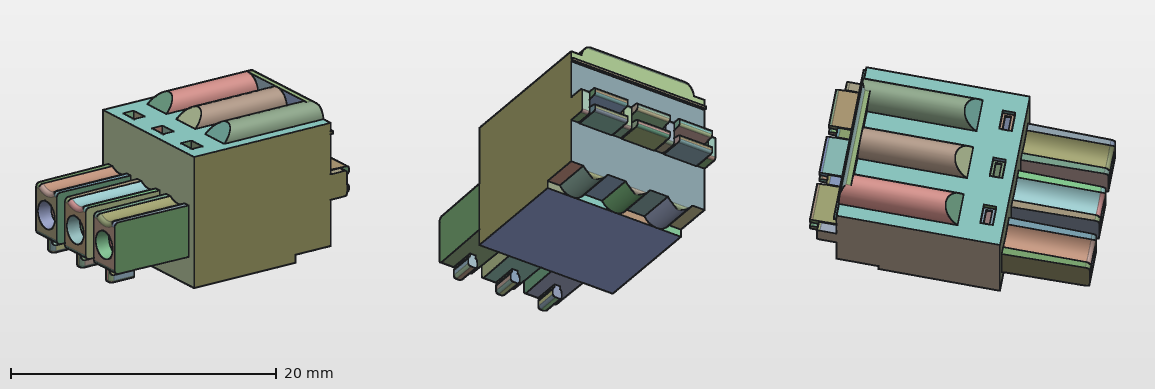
import cadquery as cq
import math


pole_pitch = 3.8
pole_count = 3
pole_centres = [(i - (pole_count - 1) / 2) * pole_pitch for i in range(pole_count)]
centre_span = pole_pitch * (pole_count - 1)

total_length = 21.4
total_height = 11.7
body_width = 12.03
body_front = 6.7
body_rear = 19.22
body_top = 10.57
end_radius = 0.3

barrel_radius = 1.26
upper_barrel_front = 10.12
upper_barrel_height = total_height - body_top
lower_barrel_front = 16.0
lower_barrel_height = 0.65
web_thickness = 0.7

pocket_front = 7.53
pocket_length = 0.96
pocket_width = 1.48
pocket_depth = 0.65
pocket_ledge = 0.21
well_width = 1.15
well_depth = 0.43
well_step_length = 0.28

plug_bottom = 2.3
plug_top = 6.45
plug_tip_width = 2.74
plug_root_width = 2.95
plug_radius = 0.35
groove_diameter = 3.1
groove_radius = groove_diameter / 2
groove_width = 1.85
hole_height = 4.25
hole_mouth_diameter = 2.23
hole_inner_diameter = 2.03
hole_taper_depth = 1.13
pin_hole_diameter = 1.2
pin_hole_depth = 3.0

key_front = 0.28
key_rear = 2.48
key_bottom = 1.15
key_width = 0.81
key_neck_width = 0.5
key_top = plug_bottom + plug_radius
key_neck_bottom = 2.08
key_shoulder = 1.82
key_corner_radius = 0.3
key_bottom_radius = 0.24

socket_width = 2.93
socket_bottom = 4.32
socket_root_top = 6.48
socket_top = 6.4
socket_mid = (socket_bottom + socket_top) / 2
mouth_height = 0.9
mouth_root_height = 0.3
lip_radius = 0.21
socket_overlap = 0.21
rib_rear = 20.72
rib_bottom = 4.37
rib_top = 6.42
rib_gap = 0.06
bead_size = 0.21
bead_height = 9.75


def box(x_range, y_range, z_range):
    """Box between the given limits on each axis."""
    sizes = [high - low for low, high in (x_range, y_range, z_range)]
    corner = (x_range[0], y_range[0], z_range[0])
    return cq.Workplane("XY").box(*sizes, centered=False).translate(corner)


def centred(middle, size):
    """Limits of a length placed symmetrically about a middle."""
    return (middle - size / 2, middle + size / 2)


def side_profile(points, width, middle=0.0):
    """Outline in Y and Z, extruded across X about a middle."""
    profile = cq.Workplane("YZ").polyline(points).close()
    return profile.extrude(width / 2, both=True).translate((middle, 0, 0))


def along_y(diameter, start, end, x, z):
    """Cylinder parallel to Y."""
    plane = cq.Workplane("XZ", origin=(x, start, z))
    return plane.circle(diameter / 2).extrude(start - end)


def barrels(front, axis_height):
    """One cylinder per pole, ending at the rear of the housing."""
    group = along_y(2 * barrel_radius, front, body_rear, pole_centres[0], axis_height)
    for x in pole_centres[1:]:
        group = group.union(along_y(2 * barrel_radius, front, body_rear, x, axis_height))
    return group


def upper_barrels():
    """Barrels with a sloped front, joined at the rear by a web."""
    web = box(
        centred(0, centre_span),
        (body_rear - web_thickness, body_rear),
        (body_top, total_height),
    )
    group = barrels(upper_barrel_front, total_height - barrel_radius).union(web)
    outline = [
        (upper_barrel_front, body_top),
        (body_rear, body_top),
        (body_rear, total_height),
        (upper_barrel_front + upper_barrel_height, total_height),
    ]
    limits = side_profile(outline, body_width).edges("|X and >Y and >Z").fillet(end_radius)
    return group.intersect(limits)


def lower_barrels():
    """Barrels left standing in the step under the rear of the housing."""
    limits = box(
        centred(0, body_width),
        (lower_barrel_front, body_rear),
        (0, lower_barrel_height),
    )
    limits = limits.edges("|X and >Y and <Z").fillet(end_radius)
    return barrels(lower_barrel_front, barrel_radius).intersect(limits)


def housing():
    block = box(centred(0, body_width), (body_front, body_rear), (0, body_top))
    step = box(centred(0, body_width), (lower_barrel_front, body_rear), (0, lower_barrel_height))
    return block.cut(step).union(lower_barrels()).union(upper_barrels())


def pocket(x):
    """Rectangular pocket with a deeper well whose floor slopes down to the rear."""
    pocket_floor = body_top - pocket_depth
    opening = box(
        centred(x, pocket_width),
        (pocket_front, pocket_front + pocket_length),
        (pocket_floor, body_top),
    )
    well_rear = pocket_front + pocket_length - pocket_ledge
    well_outline = [
        (pocket_front, pocket_floor),
        (pocket_front + well_step_length, pocket_floor),
        (well_rear, pocket_floor - well_depth),
        (well_rear, body_top),
        (pocket_front, body_top),
    ]
    return opening.union(side_profile(well_outline, well_width, x))


def plug(x):
    """Tapered block with a hollow along its top and rounded front edges."""
    tip = plug_tip_width / 2
    root = plug_root_width / 2
    outline = [(-tip, 0), (tip, 0), (root, body_front), (-root, body_front)]
    block = cq.Workplane("XY").polyline(outline).close().extrude(plug_top - plug_bottom)
    block = block.translate((x, 0, plug_bottom))
    groove_axis = plug_top + math.sqrt(groove_radius**2 - (groove_width / 2) ** 2)
    block = block.cut(along_y(groove_diameter, 0, body_front, x, groove_axis))
    return block.faces("<Y").edges("not |Z").fillet(plug_radius)


def plug_hole(x):
    """Tapered entry, a cone at 45 degrees and a narrow pin hole."""
    cone_depth = (hole_inner_diameter - pin_hole_diameter) / 2
    outline = [
        (0, 0),
        (hole_mouth_diameter / 2, 0),
        (hole_inner_diameter / 2, hole_taper_depth),
        (pin_hole_diameter / 2, hole_taper_depth + cone_depth),
        (pin_hole_diameter / 2, pin_hole_depth),
        (0, pin_hole_depth),
    ]
    hole = cq.Workplane("XY").polyline(outline).close().revolve(360, (0, 0), (0, 1))
    return hole.translate((x, 0, hole_height))


def coding_key(x):
    """Necked rail with rounded lower edges and rounded front corners."""
    neck = key_neck_width / 2
    head = key_width / 2
    outline = [
        (-neck, key_top),
        (-neck, key_neck_bottom),
        (-head, key_shoulder),
        (-head, key_bottom),
        (head, key_bottom),
        (head, key_shoulder),
        (neck, key_neck_bottom),
        (neck, key_top),
    ]
    rail = cq.Workplane("XZ", origin=(0, key_front, 0)).polyline(outline).close()
    rail = rail.extrude(key_front - key_rear)
    limits = box(centred(0, key_width), (key_front, key_rear), (key_bottom, key_top))
    limits = limits.edges("|Z and <Y").fillet(key_corner_radius)
    limits = limits.faces("<Z").edges("not >Y").fillet(key_bottom_radius)
    return rail.intersect(limits).translate((x, 0, 0))


def socket(x):
    """Rear socket with a mouth that flares between two rounded lips."""
    root = body_rear - socket_overlap
    outline = [
        (root, socket_bottom),
        (total_length, socket_bottom),
        (total_length, socket_mid - mouth_height / 2),
        (body_rear, socket_mid - mouth_root_height / 2),
        (body_rear, socket_mid + mouth_root_height / 2),
        (total_length, socket_mid + mouth_height / 2),
        (total_length, socket_top),
        (root, socket_root_top),
    ]
    return side_profile(outline, socket_width, x).faces(">Y").edges("|X").fillet(lip_radius)


def rear_ribs():
    """Ribs filling the spaces beside and between the sockets."""
    clearance = socket_width / 2 + rib_gap
    starts = [-body_width / 2] + [x + clearance for x in pole_centres]
    ends = [x - clearance for x in pole_centres] + [body_width / 2]
    group = cq.Workplane("XY")
    for limits in zip(starts, ends):
        rib = box(limits, (body_rear, rib_rear), (rib_bottom, rib_top))
        group = group.union(rib.faces(">Y").edges("|X").fillet(lip_radius))
    return group


def locking_bead():
    """Small bead across the rear face."""
    return box(centred(0, body_width), (body_rear, body_rear + bead_size), centred(bead_height, bead_size))


result = housing().union(rear_ribs()).union(locking_bead())
for pole_x in pole_centres:
    result = result.union(plug(pole_x)).union(coding_key(pole_x)).union(socket(pole_x))
    result = result.cut(plug_hole(pole_x)).cut(pocket(pole_x))